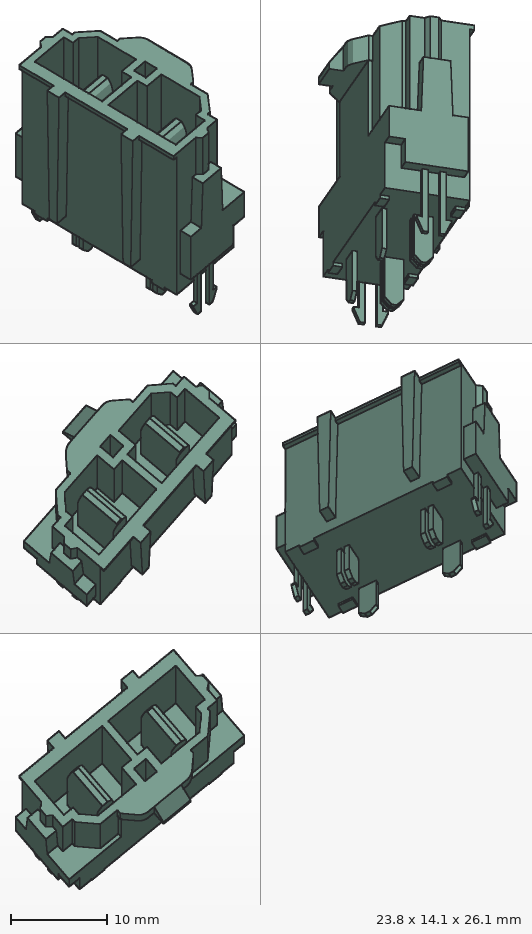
import cadquery as cq
import math


HALF_WIDTH = 10.5
DEPTH = 9.3
HEIGHT = 20.65
SHELF_Z = 8.93
LIP_OUT = 0.5
LIP_HEIGHT = 0.55

SHOULDER_Y = 6.58
STEP_X = 9.2
CORNER_CUT = 1.88
UPPER_BACK_Y = 8.85

CONTACT_X = 5.0
CAVITY_FLOOR_Z = 2.6
CAVITY_INNER_X = 0.42
CAVITY_OUTER_X = 9.58
CAVITY_FRONT_Y = 0.97
CAVITY_SHOULDER_Y = 5.66
CAVITY_BACK_Y = 7.99
CAVITY_STEP_INNER_X = 1.72
CAVITY_STEP_OUTER_X = 8.33
CAVITY_CORNER_CUT = 1.4
KEY_HOLE_WIDTH = 1.62
KEY_HOLE_FRONT_Y = SHOULDER_Y
KEY_HOLE_BACK_Y = 8.35

LATCH_HEIGHT = 2.9
LATCH_BASE_HALF_WIDTH = 4.99
LATCH_BACK_Y = 11.05
LATCH_CORNER_RADIUS = 1.57
SPINE_HALF_WIDTH = LATCH_BASE_HALF_WIDTH - 0.13
HOOK_WIDTH = 3.68
HOOK_TIP_Y = 12.58
HOOK_TIP_HEIGHT = 0.78

RIB_TOP_WIDTH = 1.6
RIB_BOTTOM_WIDTH = 1.05
RIB_BOTTOM_Z = 2.04
RIB_OUT = 1.51

WING_X = 23.83 / 2
WING_FRONT_Y = 0.63
WING_BOTTOM_Z = 2.6
WING_NOTCH_Y = 7.52
WING_NOTCH_Z = 5.32
TAB_TOP_Z = 15.27
TAB_TOP_HALF_WIDTH = 1.5
TAB_BASE_HALF_WIDTH = 1.72
SIDE_CENTRE_Y = 4.05
RIDGE_OUT = 0.57
RIDGE_BASE_HALF_WIDTH = 0.91
RIDGE_TOP_HALF_WIDTH = 0.47
CLIP_THICKNESS = 0.5
CLIP_INNER = 0.65
CLIP_OUTER = 1.3
CLIP_BARB = 1.88
CLIP_TIP = 1.23
CLIP_BARB_TOP_Z = -2.98
CLIP_BARB_EDGE_Z = -3.2
CLIP_TIP_Z = -4.67

BLADE_WIDTH = 2.1
BLADE_FLAT = 0.7
BLADE_FRONT_Y = 2.04
BLADE_BACK_Y = 6.9
BLADE_TOP_Z = HEIGHT - 3.73
BLADE_FRONT_CHAMFER = 0.13
PIN_TIP_Z = HEIGHT - 26.1
PIN_WIDTH = 2.1
PIN_TIP_CHAMFER = 0.75
FRONT_PIN_CENTRE_Y = 3.52
FRONT_PIN_THICKNESS = 1.5
FRONT_PIN_SLIT = 0.37
REAR_PIN_CENTRE_Y = 7.93
REAR_PIN_THICKNESS = 0.5

FOOT_INNER_X = 7.1
FOOT_OUTER_X = 8.82
FOOT_DEPTH = 1.02
FOOT_HEIGHT = 0.4


def box(x0, x1, y0, y1, z0, z1):
    """Box between two corners."""
    return cq.Workplane("XY").box(x1 - x0, y1 - y0, z1 - z0, centered=False).translate((x0, y0, z0))


def prism_z(points, z0, z1):
    """Outline in XY raised from z0 to z1."""
    return cq.Workplane("XY").workplane(offset=z0).polyline(points).close().extrude(z1 - z0)


def prism_x(points, x0, x1):
    """Outline in YZ stretched from x0 to x1."""
    return cq.Workplane("YZ").workplane(offset=x0).polyline(points).close().extrude(x1 - x0)


def prism_y(points, y0, y1):
    """Outline in XZ stretched from y0 to y1."""
    return cq.Workplane("XZ").workplane(offset=-y0).polyline(points).close().extrude(y0 - y1)


def mirrored(half):
    """Half outline in (x, y), listed from front to back, closed by its mirror image."""
    return half + [(-x, y) for x, y in reversed(half)]


def housing():
    base = box(-HALF_WIDTH, HALF_WIDTH, 0, DEPTH, 0, SHELF_Z)
    half_outline = [
        (HALF_WIDTH, 0),
        (HALF_WIDTH, SHOULDER_Y),
        (STEP_X, SHOULDER_Y),
        (STEP_X, UPPER_BACK_Y - CORNER_CUT),
        (STEP_X - CORNER_CUT, UPPER_BACK_Y),
    ]
    upper = prism_z(mirrored(half_outline), SHELF_Z, HEIGHT)
    lip = box(-HALF_WIDTH, HALF_WIDTH, -LIP_OUT, 0, HEIGHT - LIP_HEIGHT, HEIGHT)
    spine = box(-SPINE_HALF_WIDTH, SPINE_HALF_WIDTH, UPPER_BACK_Y, DEPTH, SHELF_Z, HEIGHT)
    return base.union(upper).union(lip).union(spine)


def latch():
    bottom_z = HEIGHT - LATCH_HEIGHT
    back_half_width = LATCH_BASE_HALF_WIDTH - (LATCH_BACK_Y - DEPTH)
    half_outline = [
        (LATCH_BASE_HALF_WIDTH, UPPER_BACK_Y),
        (LATCH_BASE_HALF_WIDTH, DEPTH),
        (back_half_width, LATCH_BACK_Y),
    ]
    plate = prism_z(mirrored(half_outline), bottom_z, HEIGHT)
    plate = plate.edges("|Z").edges(">Y").fillet(LATCH_CORNER_RADIUS)
    hook_outline = [
        (LATCH_BACK_Y, bottom_z),
        (HOOK_TIP_Y, bottom_z),
        (HOOK_TIP_Y, bottom_z + HOOK_TIP_HEIGHT),
        (LATCH_BACK_Y, HEIGHT),
    ]
    return plate.union(prism_x(hook_outline, -HOOK_WIDTH / 2, HOOK_WIDTH / 2))


def front_rib():
    outline = [
        (CONTACT_X - RIB_TOP_WIDTH / 2, HEIGHT),
        (CONTACT_X + RIB_TOP_WIDTH / 2, HEIGHT),
        (CONTACT_X + RIB_BOTTOM_WIDTH / 2, RIB_BOTTOM_Z),
        (CONTACT_X - RIB_BOTTOM_WIDTH / 2, RIB_BOTTOM_Z),
    ]
    return prism_y(outline, -RIB_OUT, 0)


def wing():
    outline = [
        (WING_FRONT_Y, WING_BOTTOM_Z),
        (WING_FRONT_Y, SHELF_Z),
        (SIDE_CENTRE_Y - TAB_BASE_HALF_WIDTH, SHELF_Z),
        (SIDE_CENTRE_Y - TAB_TOP_HALF_WIDTH, TAB_TOP_Z),
        (SIDE_CENTRE_Y + TAB_TOP_HALF_WIDTH, TAB_TOP_Z),
        (SIDE_CENTRE_Y + TAB_BASE_HALF_WIDTH, SHELF_Z),
        (DEPTH, SHELF_Z),
        (DEPTH, WING_NOTCH_Z),
        (WING_NOTCH_Y, WING_NOTCH_Z),
        (WING_NOTCH_Y, WING_BOTTOM_Z),
    ]
    return prism_x(outline, HALF_WIDTH, WING_X)


def guide_ridge():
    outline = [
        (HALF_WIDTH, SIDE_CENTRE_Y - RIDGE_BASE_HALF_WIDTH),
        (HALF_WIDTH + RIDGE_OUT, SIDE_CENTRE_Y - RIDGE_TOP_HALF_WIDTH),
        (HALF_WIDTH + RIDGE_OUT, SIDE_CENTRE_Y + RIDGE_TOP_HALF_WIDTH),
        (HALF_WIDTH, SIDE_CENTRE_Y + RIDGE_BASE_HALF_WIDTH),
    ]
    return prism_z(outline, SHELF_Z, HEIGHT)


def board_clip():
    """Two barbed legs below the wing, spreading away from each other."""
    leg_outline = [
        (CLIP_INNER, WING_BOTTOM_Z),
        (CLIP_OUTER, WING_BOTTOM_Z),
        (CLIP_OUTER, CLIP_BARB_TOP_Z),
        (CLIP_BARB, CLIP_BARB_TOP_Z),
        (CLIP_BARB, CLIP_BARB_EDGE_Z),
        (CLIP_TIP, CLIP_TIP_Z),
        (CLIP_INNER, CLIP_TIP_Z),
    ]
    leg = prism_x(leg_outline, HALF_WIDTH, HALF_WIDTH + CLIP_THICKNESS)
    return leg.union(leg.mirror("XZ")).translate((0, SIDE_CENTRE_Y, 0))


def feet():
    front = box(FOOT_INNER_X, FOOT_OUTER_X, 0, FOOT_DEPTH, -FOOT_HEIGHT, 0)
    return front.union(front.translate((0, DEPTH - FOOT_DEPTH, 0)))


def cavity():
    outline = [
        (CAVITY_INNER_X, CAVITY_FRONT_Y),
        (CAVITY_OUTER_X, CAVITY_FRONT_Y),
        (CAVITY_OUTER_X, CAVITY_SHOULDER_Y),
        (CAVITY_STEP_OUTER_X, CAVITY_SHOULDER_Y),
        (CAVITY_STEP_OUTER_X, CAVITY_BACK_Y - CAVITY_CORNER_CUT),
        (CAVITY_STEP_OUTER_X - CAVITY_CORNER_CUT, CAVITY_BACK_Y),
        (CAVITY_STEP_INNER_X, CAVITY_BACK_Y),
        (CAVITY_STEP_INNER_X, CAVITY_SHOULDER_Y),
        (CAVITY_INNER_X, CAVITY_SHOULDER_Y),
    ]
    return prism_z(outline, CAVITY_FLOOR_Z, HEIGHT)


def blade():
    """Flat blade whose sides curve in from vertical to 45 degrees at the flat top."""
    half_width = BLADE_WIDTH / 2
    half_flat = BLADE_FLAT / 2
    radius = (half_width - half_flat) / (1 - math.cos(math.pi / 4))
    arc_start_z = BLADE_TOP_Z - radius * math.sin(math.pi / 4)
    mid_x = half_width - radius * (1 - math.cos(math.pi / 8))
    mid_z = arc_start_z + radius * math.sin(math.pi / 8)
    body = (
        cq.Workplane("XZ")
        .moveTo(-half_width, CAVITY_FLOOR_Z)
        .lineTo(half_width, CAVITY_FLOOR_Z)
        .lineTo(half_width, arc_start_z)
        .threePointArc((mid_x, mid_z), (half_flat, BLADE_TOP_Z))
        .lineTo(-half_flat, BLADE_TOP_Z)
        .threePointArc((-mid_x, mid_z), (-half_width, arc_start_z))
        .close()
        .extrude(BLADE_FRONT_Y - BLADE_BACK_Y)
        .edges(">Z and <Y")
        .chamfer(BLADE_FRONT_CHAMFER)
    )
    return body.translate((0, BLADE_FRONT_Y, 0))


def pin_outline():
    """Straight pin with a chamfered tip, centred on its first axis."""
    half_width = PIN_WIDTH / 2
    half_tip = half_width - PIN_TIP_CHAMFER
    shoulder_z = PIN_TIP_Z + PIN_TIP_CHAMFER
    return [
        (-half_width, 0),
        (half_width, 0),
        (half_width, shoulder_z),
        (half_tip, PIN_TIP_Z),
        (-half_tip, PIN_TIP_Z),
        (-half_width, shoulder_z),
    ]


def solder_pins():
    """Front pin split into two leaves facing sideways, rear pin one leaf facing forward."""
    leaf = prism_x(pin_outline(), FRONT_PIN_SLIT / 2, FRONT_PIN_THICKNESS / 2)
    front = leaf.union(leaf.mirror("YZ")).translate((0, FRONT_PIN_CENTRE_Y, 0))
    rear = prism_y(pin_outline(), -REAR_PIN_THICKNESS / 2, REAR_PIN_THICKNESS / 2)
    return front.union(rear.translate((0, REAR_PIN_CENTRE_Y, 0)))


def both_sides(shape):
    """The shape together with its mirror image across the YZ plane."""
    return shape.union(shape.mirror("YZ"))


key_hole = box(
    -KEY_HOLE_WIDTH / 2, KEY_HOLE_WIDTH / 2,
    KEY_HOLE_FRONT_Y, KEY_HOLE_BACK_Y,
    CAVITY_FLOOR_Z, HEIGHT,
)

result = housing().union(latch())
for side_part in (front_rib(), wing(), guide_ridge(), board_clip(), feet()):
    result = result.union(both_sides(side_part))

result = result.cut(both_sides(cavity())).cut(key_hole)

for contact_part in (blade(), solder_pins()):
    result = result.union(both_sides(contact_part.translate((CONTACT_X, 0, 0))))